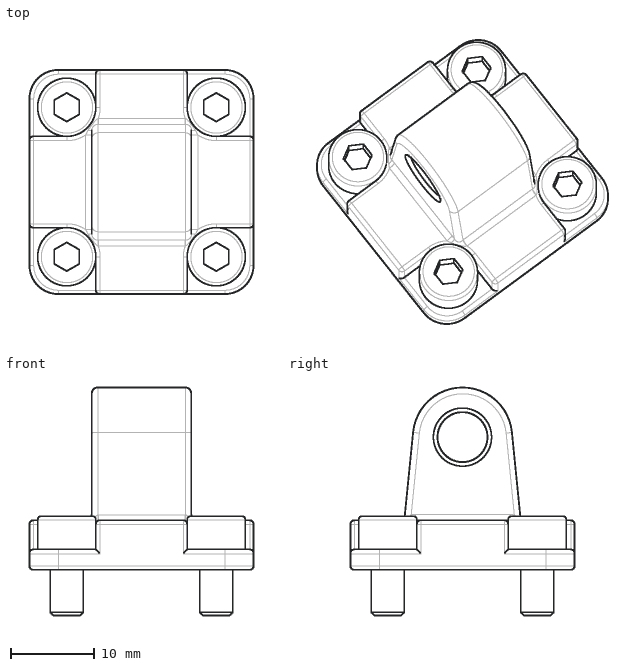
import cadquery as cq
import math

overall_height = 27.48

base_side = 27.0
base_height = 6.0
base_corner_radius = 3.5
edge_round = 0.5

screw_pitch = 18.0
seat_height = 2.47

head_diameter = 7.0
head_top = 6.49
head_round = 0.4
shank_diameter = 4.0
shank_drop = 5.5
shank_chamfer = 0.4
hex_across_flats = 3.0
hex_sides = 6
socket_depth = 2.0
socket_cone_angle = 120

lug_top = overall_height - shank_drop
lug_width = 12.0
crown_radius = 6.0
side_slope = math.radians(5.7)
lug_round = 0.75
root_round = 0.75
bore_diameter = 6.0
bore_mouth_diameter = 7.0

tolerance = 0.003

bore_height = lug_top - crown_radius
tangent_y = crown_radius * math.cos(side_slope)
tangent_z = bore_height + crown_radius * math.sin(side_slope)
lug_foot_y = tangent_y + tangent_z * math.tan(side_slope)
corner_signs = [(1, 1), (-1, 1), (-1, -1), (1, -1)]
screw_places = [(sx * screw_pitch / 2, sy * screw_pitch / 2) for sx, sy in corner_signs]


def corner_seat(sign_x, sign_y):
    """Clearance above a corner of the base, with an inner corner that wraps the screw head."""
    head_radius = head_diameter / 2
    inner = screw_pitch / 2 - head_radius
    outer = base_side / 2 + head_radius
    middle = (inner + outer) / 2
    return (
        cq.Workplane("XY", origin=(0, 0, seat_height))
        .center(sign_x * middle, sign_y * middle)
        .rect(outer - inner, outer - inner)
        .extrude(base_height)
        .edges("|Z")
        .fillet(head_radius)
    )


def is_convex_base_edge(edge):
    """True for every edge to round: all but the uprights of the plate and the feet of the seat walls."""
    center = edge.Center()
    reach = max(abs(center.x), abs(center.y))
    on_outline = reach > base_side / 2 - tolerance
    on_corner_arc = min(abs(center.x), abs(center.y)) > base_side / 2 - base_corner_radius
    if center.z < tolerance or center.z > base_height - tolerance:
        return True
    if center.z < seat_height - tolerance:
        return False
    return on_outline or on_corner_arc


def make_base():
    base = (
        cq.Workplane("XY")
        .rect(base_side, base_side)
        .extrude(base_height)
        .edges("|Z")
        .fillet(base_corner_radius)
    )
    for sign_x, sign_y in corner_signs:
        base = base.cut(corner_seat(sign_x, sign_y))
    return base.edges().filter(is_convex_base_edge).fillet(edge_round)


def make_lug():
    lug = (
        cq.Workplane("YZ")
        .moveTo(-lug_foot_y, 0)
        .lineTo(-tangent_y, tangent_z)
        .threePointArc((0, lug_top), (tangent_y, tangent_z))
        .lineTo(lug_foot_y, 0)
        .close()
        .extrude(lug_width / 2, both=True)
    )
    return lug.faces("<X or >X").edges("not <Z").fillet(lug_round)


def is_lug_root_edge(edge):
    """True for the edges where the lug meets the top of the base."""
    center = edge.Center()
    at_base_top = abs(center.z - base_height) < tolerance
    within_x = abs(center.x) < lug_width / 2 + tolerance
    within_y = abs(center.y) < lug_foot_y
    return at_base_top and within_x and within_y


def make_bore():
    """Cylinder along X with a 45 degree chamfer flaring out at both lug faces."""
    half_width = lug_width / 2
    radius = bore_diameter / 2
    mouth_radius = bore_mouth_diameter / 2
    flare = mouth_radius - radius
    return (
        cq.Workplane("XY")
        .moveTo(-half_width, 0)
        .lineTo(-half_width, mouth_radius)
        .lineTo(-half_width + flare, radius)
        .lineTo(half_width - flare, radius)
        .lineTo(half_width, mouth_radius)
        .lineTo(half_width, 0)
        .close()
        .revolve(360, (0, 0, 0), (1, 0, 0))
        .translate((0, 0, bore_height))
    )


def make_socket():
    """Hexagonal recess, flats facing X, ending in a drill point."""
    half_side_angle = 180 / hex_sides
    corner_radius = hex_across_flats / 2 / math.cos(math.radians(half_side_angle))
    cone_depth = corner_radius / math.tan(math.radians(socket_cone_angle / 2))
    floor = head_top - socket_depth
    hexagon = (
        cq.Workplane("XY", origin=(0, 0, head_top))
        .polygon(hex_sides, 2 * corner_radius)
        .extrude(-socket_depth - cone_depth)
        .rotate((0, 0, 0), (0, 0, 1), half_side_angle)
    )
    drill = (
        cq.Workplane("XZ")
        .moveTo(0, floor - cone_depth)
        .lineTo(corner_radius, floor)
        .lineTo(corner_radius, head_top)
        .lineTo(0, head_top)
        .close()
        .revolve(360, (0, 0, 0), (0, 1, 0))
    )
    return hexagon.intersect(drill)


def make_screw():
    head = (
        cq.Workplane("XY", origin=(0, 0, seat_height))
        .circle(head_diameter / 2)
        .extrude(head_top - seat_height)
        .faces(">Z")
        .edges()
        .fillet(head_round)
    )
    shank = (
        cq.Workplane("XY", origin=(0, 0, -shank_drop))
        .circle(shank_diameter / 2)
        .extrude(shank_drop + seat_height)
        .faces("<Z")
        .edges()
        .chamfer(shank_chamfer)
    )
    return head.union(shank)


body = make_base().union(make_lug())
body = body.edges().filter(is_lug_root_edge).fillet(root_round)
body = body.cut(make_bore())

screw = make_screw()
socket = make_socket()
for x, y in screw_places:
    body = body.union(screw.translate((x, y, 0)))
    body = body.cut(socket.translate((x, y, 0)))

result = body